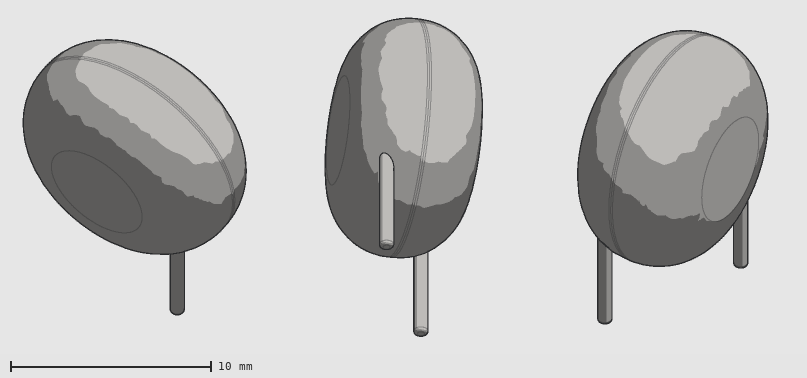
import cadquery as cq

total_height = 15.03
body_diameter = 12.0
body_thickness = 6.7
edge_radius = 3.25

lead_diameter = 0.72
lead_offset_x = 3.74
lead_offset_y = 1.7
lead_tip_round = 0.18

body_radius = body_diameter / 2
lead_bottom = body_radius - total_height
lead_length = -lead_bottom


def make_body():
    """Disc with both rims rounded, leaving a narrow straight band between them."""
    return (
        cq.Workplane("XZ")
        .circle(body_radius)
        .extrude(body_thickness / 2, both=True)
        .edges()
        .fillet(edge_radius)
    )


def make_lead(x, y):
    """Straight round wire with a rounded lower tip."""
    return (
        cq.Workplane("XY", origin=(x, y, lead_bottom))
        .circle(lead_diameter / 2)
        .extrude(lead_length)
        .faces("<Z")
        .edges()
        .fillet(lead_tip_round)
    )


result = make_body()
for side in (-1, 1):
    result = result.union(make_lead(side * lead_offset_x, -side * lead_offset_y))